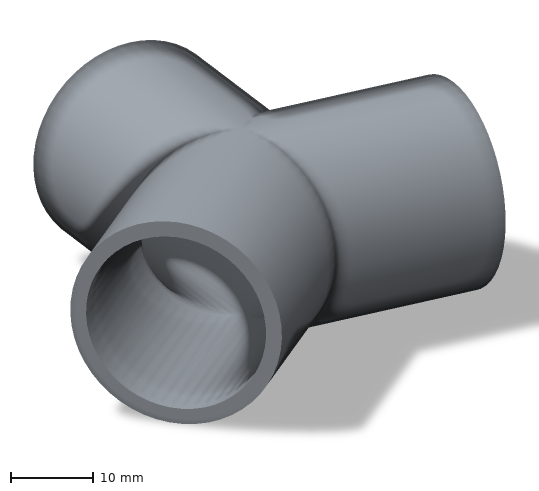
import cadquery as cq
import math

outer_diameter = 26.9
bore_diameter = 22.9
branch_length = 29.0
arm_angle = 45.0
outer_seam_radius = 0.5
bore_seam_radius = 2.4

arm_x = math.sin(math.radians(arm_angle))
arm_y = math.cos(math.radians(arm_angle))
stem_direction = (0, -1, 0)
arm_directions = [(arm_x, arm_y, 0), (-arm_x, arm_y, 0)]


def branch(direction, diameter):
    """Solid cylinder from the meeting point of the axes to one open end."""
    base_plane = cq.Plane(origin=(0, 0, 0), xDir=(0, 0, 1), normal=direction)
    return cq.Workplane(base_plane).circle(diameter / 2).extrude(branch_length)


def wye(diameter, seam_radius):
    """Three joined cylinders with their elliptical seams rounded."""
    body = branch(stem_direction, diameter)
    for direction in arm_directions:
        body = body.union(branch(direction, diameter))
    return body.edges("%ELLIPSE").fillet(seam_radius)


result = wye(outer_diameter, outer_seam_radius).cut(wye(bore_diameter, bore_seam_radius))